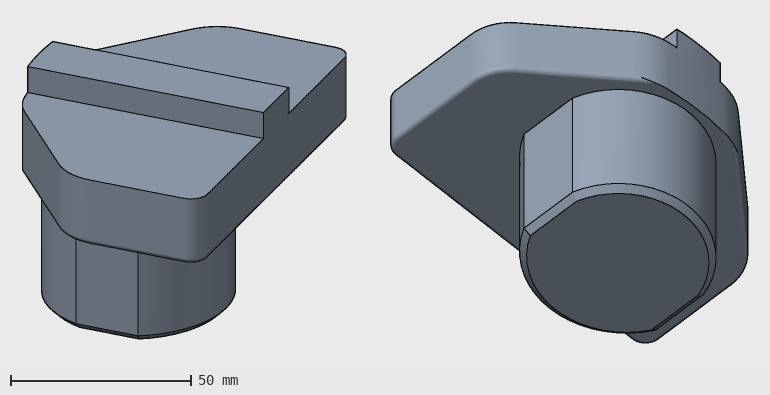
import cadquery as cq
import math

length_x = 72.0
width_y = 104.0

stem_height = 42.1
head_height = 20.1
rib_height = 8.0
rib_width = 17.3

slant_corner_x_minus = 31.4
slant_corner_x_plus = 30.7
slant_angle = math.radians(50)
slant_radius = 15.6
back_corner_radius = 5.2
nose_radius = 88.4
nose_center_y = 0.3
nose_blend_radius = 17.7
bottom_fillet = 1.5

stem_width = 52.0
stem_front_x = 2.5
stem_back_x = 56.1
stem_center_y = 2.0
flat_front_x = 21.9
flat_back_x = 40.8
stem_chamfer = 2.0

half_width = width_y / 2
head_top = stem_height + head_height
total_height = head_top + rib_height
apex_x = (slant_corner_x_minus + slant_corner_x_plus) / 2 - half_width / math.tan(slant_angle)
apex_y = (slant_corner_x_minus - slant_corner_x_plus) / 2 * math.tan(slant_angle)


def stem_outline(bottom):
    half = stem_width / 2
    return (
        cq.Workplane("XY")
        .workplane(offset=bottom)
        .center(0, stem_center_y)
        .moveTo(flat_front_x, -half)
        .lineTo(flat_back_x, -half)
        .threePointArc((stem_back_x, 0), (flat_back_x, half))
        .lineTo(flat_front_x, half)
        .threePointArc((stem_front_x, 0), (flat_front_x, -half))
        .close()
    )


def make_stem():
    """Straight stem standing on a 45 degree tapered foot that forms its lower chamfer."""
    shaft = stem_outline(stem_chamfer).extrude(stem_height - stem_chamfer)
    foot = stem_outline(stem_chamfer).extrude(-stem_chamfer, taper=45)
    return shaft.union(foot)


def make_wedge(bottom, height):
    """Pentagonal plate whose slanted sides meet in a point beyond the nose."""
    outline = [
        (apex_x, apex_y),
        (slant_corner_x_minus, -half_width),
        (length_x, -half_width),
        (length_x, half_width),
        (slant_corner_x_plus, half_width),
    ]
    return cq.Workplane("XY").workplane(offset=bottom).polyline(outline).close().extrude(height)


def make_nose_envelope():
    """Full-height wedge with its point cut to a shallow arc and blended into the slants."""
    nose_disc = cq.Workplane("XY").center(nose_radius, nose_center_y)
    nose_disc = nose_disc.circle(nose_radius).extrude(total_height)
    envelope = make_wedge(0, total_height).intersect(nose_disc)
    nose_corners = cq.selectors.BoxSelector(
        (-1, -half_width / 2, 0), (slant_corner_x_plus / 2, half_width / 2, total_height)
    )
    return envelope.edges("|Z").edges(nose_corners).fillet(nose_blend_radius)


def make_head():
    head = make_wedge(stem_height, head_height)
    head = head.edges("|Z and >X").fillet(back_corner_radius)
    slant_corners = cq.selectors.BoxSelector(
        (slant_corner_x_plus - 1, -width_y, 0), (slant_corner_x_minus + 1, width_y, total_height)
    )
    head = head.edges("|Z").edges(slant_corners).fillet(slant_radius)
    return head.faces("<Z").edges().fillet(bottom_fillet)


def make_rib():
    return (
        cq.Workplane("XY")
        .workplane(offset=head_top)
        .center(length_x / 2, 0)
        .rect(length_x, rib_width)
        .extrude(rib_height)
    )


upper = make_head().union(make_rib()).intersect(make_nose_envelope())
result = upper.union(make_stem())